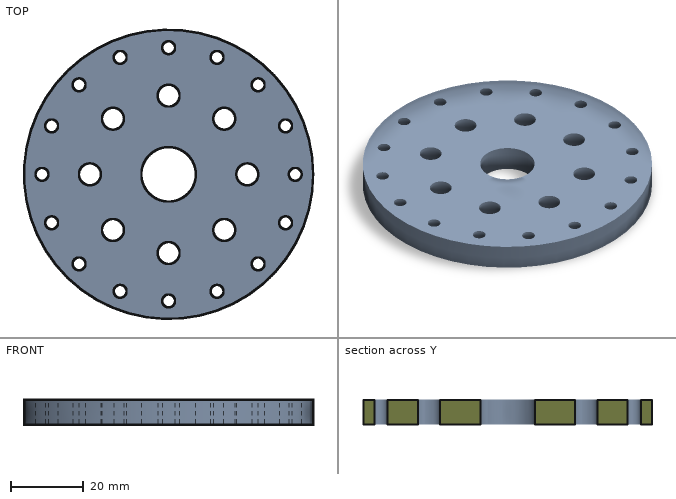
import cadquery as cq

DISC_DIAMETER = 80.0
DISC_THICKNESS = 7.0
CENTRE_BORE_DIAMETER = 15.0

INNER_RING_HOLES = 8
INNER_RING_RADIUS = 21.75
INNER_HOLE_DIAMETER = 6.0

OUTER_RING_HOLES = 16
OUTER_RING_RADIUS = 35.0
OUTER_HOLE_DIAMETER = 3.5

FULL_TURN = 360.0


def make_disc():
    """Plain disc standing on the XY plane, with its central through bore."""
    return (
        cq.Workplane("XY")
        .circle(DISC_DIAMETER / 2)
        .circle(CENTRE_BORE_DIAMETER / 2)
        .extrude(DISC_THICKNESS)
    )


def cut_hole_ring(body, ring_radius, hole_count, hole_diameter):
    """Cut evenly spaced through holes on a circle, the first one on the +X axis."""
    return (
        body.faces(">Z")
        .workplane(origin=(0, 0, DISC_THICKNESS))
        .polarArray(ring_radius, 0, FULL_TURN, hole_count)
        .hole(hole_diameter)
    )


disc = make_disc()
disc = cut_hole_ring(disc, INNER_RING_RADIUS, INNER_RING_HOLES, INNER_HOLE_DIAMETER)
result = cut_hole_ring(disc, OUTER_RING_RADIUS, OUTER_RING_HOLES, OUTER_HOLE_DIAMETER)